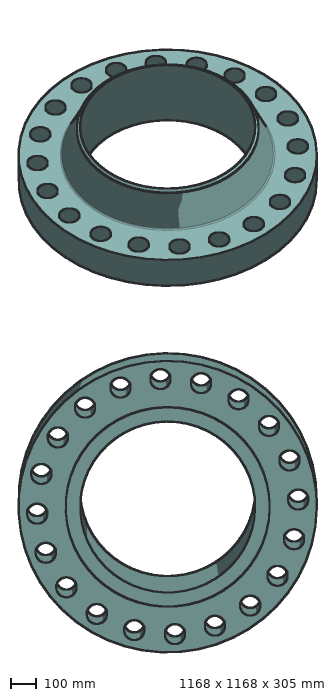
import cadquery as cq

flange_radius = 584.0
flange_thickness = 144.0
raised_face_radius = 400.0
raised_face_height = 7.0
overall_height = 305.0

bore_radius = 342.0
hub_base_radius = 416.0
hub_end_radius = 356.0
hub_root_fillet = 7.0
weld_lip_width = 1.0
weld_bevel_height = 9.0
weld_land_height = 4.0

bolt_count = 20
bolt_hole_diameter = 80.0
bolt_circle_radius = 512.0

flange_top = raised_face_height + flange_thickness
bevel_bottom = overall_height - weld_bevel_height
land_bottom = bevel_bottom - weld_land_height


def flange_body():
    """Revolve the half section: raised face, ring, tapered hub and bevelled weld end."""
    section = (
        cq.Workplane("XZ")
        .moveTo(bore_radius, 0)
        .lineTo(raised_face_radius, 0)
        .lineTo(raised_face_radius, raised_face_height)
        .lineTo(flange_radius, raised_face_height)
        .lineTo(flange_radius, flange_top)
        .lineTo(hub_base_radius, flange_top)
        .lineTo(hub_end_radius, land_bottom)
        .lineTo(hub_end_radius, bevel_bottom)
        .lineTo(bore_radius + weld_lip_width, overall_height)
        .lineTo(bore_radius, overall_height)
        .close()
    )
    return section.revolve(360, (0, 0, 0), (0, 1, 0))


def round_hub_root(body):
    """Fillet the circle where the hub cone meets the top of the ring."""
    reach = hub_base_radius + hub_root_fillet
    root_zone = cq.selectors.BoxSelector(
        (-reach, -reach, flange_top - hub_root_fillet),
        (reach, reach, flange_top + hub_root_fillet),
        boundingbox=True,
    )
    return body.edges("%CIRCLE").edges(root_zone).fillet(hub_root_fillet)


def bolt_holes():
    """Through holes evenly spaced on the bolt circle, the first one on +X."""
    return (
        cq.Workplane("XY")
        .polarArray(bolt_circle_radius, 0, 360, bolt_count)
        .circle(bolt_hole_diameter / 2)
        .extrude(overall_height)
    )


result = round_hub_root(flange_body()).cut(bolt_holes())